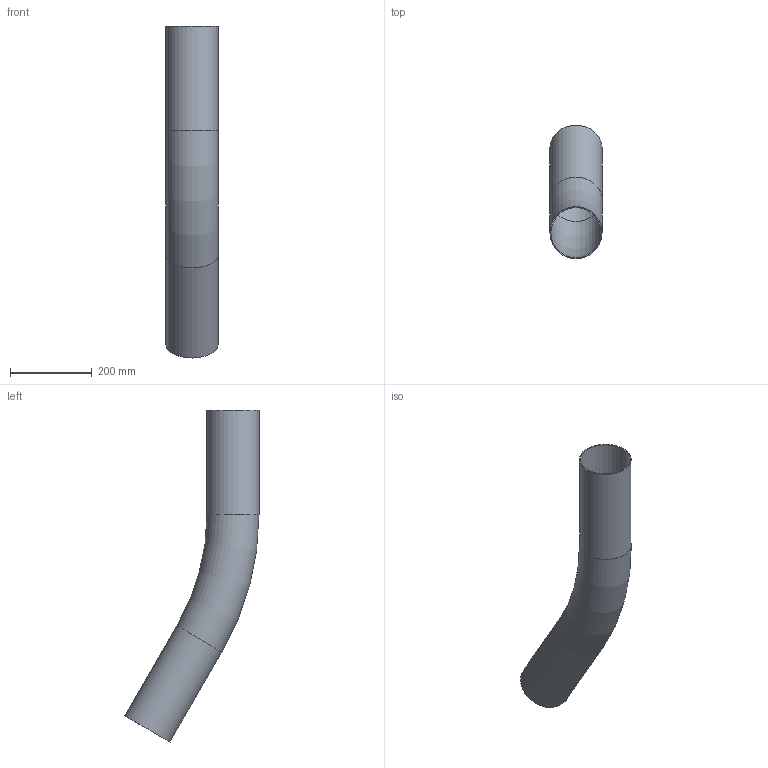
import cadquery as cq
import math

outer_diameter = 127.0
inner_diameter = 122.78
straight_length = 254.0
bend_radius = 609.6
bend_angle = 30.0


def bend_point(angle):
    """Centreline point (Y, Z) after turning `angle` degrees; the bend starts at the origin."""
    turn = math.radians(angle)
    return bend_radius * (1 - math.cos(turn)), -bend_radius * math.sin(turn)


def centreline():
    """Vertical upper leg, bend towards +Y, then the inclined lower leg, in the YZ plane."""
    bend_end_y, bend_end_z = bend_point(bend_angle)
    slope = math.radians(bend_angle)
    lower_end = (
        bend_end_y + straight_length * math.sin(slope),
        bend_end_z - straight_length * math.cos(slope),
    )
    return (
        cq.Workplane("YZ")
        .moveTo(0, straight_length)
        .lineTo(0, 0)
        .threePointArc(bend_point(bend_angle / 2), (bend_end_y, bend_end_z))
        .lineTo(*lower_end)
    )


def bent_tube():
    """Ring section at the top end, swept along the centreline; both ends stay open."""
    ring = (
        cq.Workplane("XY", origin=(0, 0, straight_length))
        .circle(outer_diameter / 2)
        .circle(inner_diameter / 2)
    )
    return ring.sweep(centreline())


result = bent_tube()